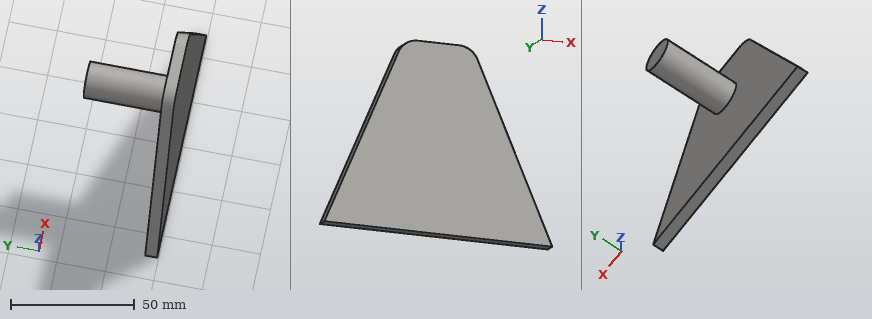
import cadquery as cq

base_width = 100
top_width = 30
plate_height = 80
plate_thickness = 5
corner_radius = 9

pin_diameter = 15
pin_length = 34
pin_height = 50


def tapered_plate():
    """Symmetric trapezoid with its two upper corners rounded."""
    outline = [
        (-base_width / 2, 0),
        (base_width / 2, 0),
        (top_width / 2, plate_height),
        (-top_width / 2, plate_height),
    ]
    plate = cq.Workplane("XZ").polyline(outline).close().extrude(-plate_thickness)
    return plate.edges("|Y").edges(">Z").fillet(corner_radius)


def rear_pin():
    """Pin running from the front face through the plate to its free end."""
    return (
        cq.Workplane("XZ")
        .center(0, pin_height)
        .circle(pin_diameter / 2)
        .extrude(-(plate_thickness + pin_length))
    )


result = tapered_plate().union(rear_pin()).clean()